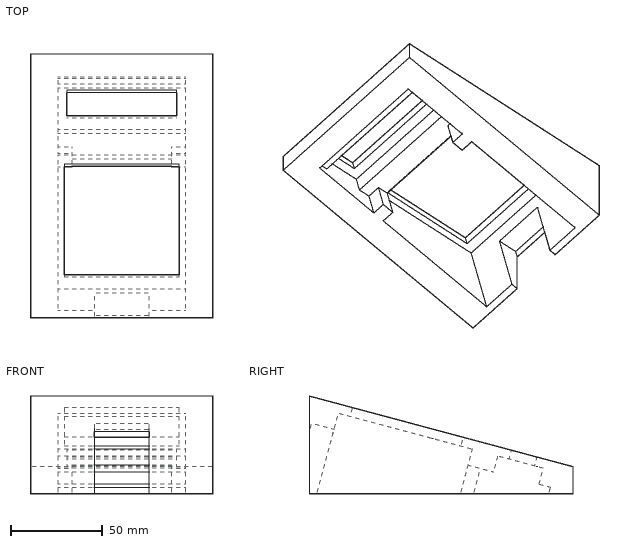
import cadquery as cq
import math

width = 100.0
length = 144.9
front_height = 53.8
slope_angle = 15.0
back_height = front_height - length * math.tan(math.radians(slope_angle))

panel_thickness = 5.0
cut_depth = 87.0

square_side = 63.0
square_start = 24.5
slot_width = 60.3
slot_length = 14.5
slot_start = 114.9

front_cavity_start = 17.8
front_cavity_end = 94.0
front_cavity_width = 70.0
rear_cavity_start = 108.5
rear_cavity_end = 134.3
rear_cavity_width = front_cavity_width

entry_width = 30.0
entry_start = 5.0
passage_width = 54.9
hollow_start = 101.0
hollow_end = 140.8
channel_roof_depth = 14.2


def sloped_box(box_width, start, end, top_depth):
    """Box square to the sloping panel, from top_depth below it to past the base."""
    box = cq.Workplane("XY").box(
        box_width, end - start, cut_depth - top_depth, centered=(True, False, False)
    )
    box = box.translate((0, start, -cut_depth))
    box = box.rotate((0, 0, 0), (1, 0, 0), -slope_angle)
    return box.translate((0, -length / 2, front_height))


wedge = (
    cq.Workplane("YZ")
    .polyline([
        (-length / 2, 0),
        (length / 2, 0),
        (length / 2, back_height),
        (-length / 2, front_height),
    ])
    .close()
    .extrude(width / 2, both=True)
)

square_window = sloped_box(square_side, square_start, square_start + square_side, 0)
slot_window = sloped_box(slot_width, slot_start, slot_start + slot_length, 0)

front_cavity = sloped_box(front_cavity_width, front_cavity_start, front_cavity_end, panel_thickness)
rear_cavity = sloped_box(rear_cavity_width, rear_cavity_start, rear_cavity_end, panel_thickness)
entry = sloped_box(entry_width, entry_start, front_cavity_end, channel_roof_depth)
passage = sloped_box(passage_width, front_cavity_start, hollow_start, channel_roof_depth)
hollow = sloped_box(rear_cavity_width, hollow_start, hollow_end, channel_roof_depth)

result = wedge
for cutter in (front_cavity, rear_cavity, entry, passage, hollow):
    result = result.cut(cutter)
result = result.cut(square_window).cut(slot_window)